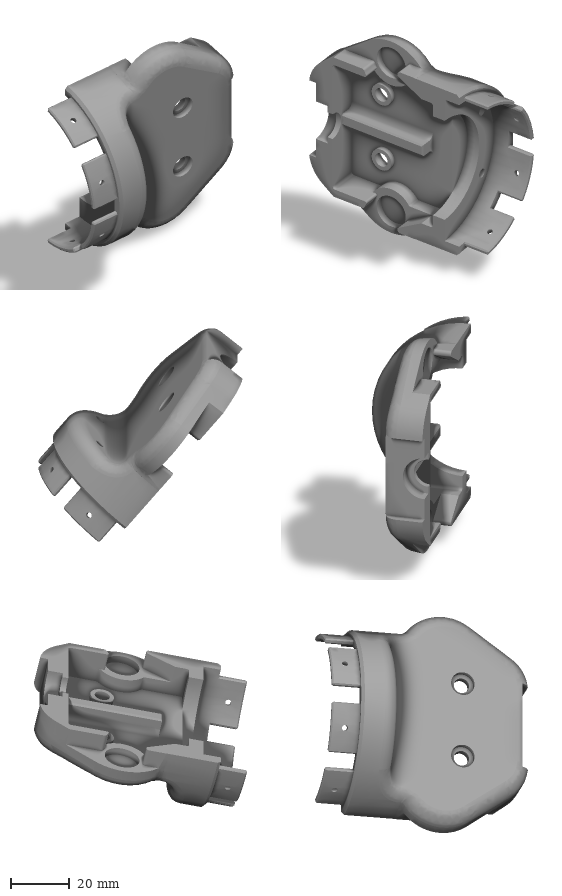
import cadquery as cq
import math


base_radius = 32.5
base_height = 13.0
base_chamfer = 1.0
plate_thickness = 14.1
rim_fillet = 4.8
inner_corner_fillet = 4.95
flank_start = 18.2

lug_center_y = 33.0
lug_radius = 15.9
lug_top = 39.0
lug_sag_share = 0.5
end_center_y = 49.0
end_center_z = 13.5
end_radius = 13.9

notch_half_width = 15.1
notch_floor_y = 60.1
seat_radius = 7.6
seat_floor_y = 55.1
opening_radius = 5.0

wide_bore_radius = 28.6
wide_bore_depth = 6.0
narrow_bore_radius = 20.05

pocket_near_y = 11.0
pocket_far_y = 53.0
pocket_half_width = 25.15
pocket_depth = 11.2
pocket_corner = 1.0

ledge_depth = 6.3
magnet_y = lug_center_y
magnet_z = 30.1
magnet_radius = 6.0
magnet_depth = 2.6
magnet_wall_radius = 9.05
magnet_wall_blend = 1.0

finger_clearance_radius = 7.2
far_finger_top = 28.2
far_finger_upper_rounding = 1.0
far_finger_lower_rounding = 0.7
near_finger_rise = 0.1
near_finger_top = base_radius + near_finger_rise
near_finger_start = 15.9
near_finger_angle = 29.5
near_finger_upper_rounding = 1.1
near_finger_lower_rounding = 0.8

rib_near_y = 19.1
rib_half_width = 2.25
rib_top = 5.35
rib_fillet = 2.1
rib_chamfer = 0.55

boss_y = 39.25
boss_z = 13.15
boss_radius = 4.1
boss_top = 9.3
boss_hole_radius = 2.6
counterbore_floor_x = 11.9
counterbore_radius = 4.1
base_hole_circle = 25.0
base_hole_angles = (-30, 30)
base_hole_radius = 1.6

tab_outer_radius = 30.5
tab_length = 9.8
tab_half_angle = 16.6
tab_angles = (-67.5, -22.5, 22.5, 67.5)
tab_chamfer = 0.5
tab_hole_distance = 4.95
tab_hole_radius = 1.0

margin = 7.75
slack = 0.1


def y_cylinder(radius, y_start, y_end, x=0.0, z=0.0):
    """Cylinder along +Y."""
    axis = cq.Vector(0, 1, 0)
    return cq.Workplane(cq.Solid.makeCylinder(radius, y_end - y_start, cq.Vector(x, y_start, z), axis))


def x_cylinder(radius, x_start, x_end, y, z):
    """Cylinder along +X."""
    axis = cq.Vector(1, 0, 0)
    return cq.Workplane(cq.Solid.makeCylinder(radius, x_end - x_start, cq.Vector(x_start, y, z), axis))


def block(x_range, y_range, z_range):
    """Box between two limits along each axis."""
    sizes = [high - low for low, high in (x_range, y_range, z_range)]
    corner = (x_range[0], y_range[0], z_range[0])
    return cq.Workplane("XY").box(*sizes, centered=False).translate(corner)


def both_sides(solid):
    """The solid together with its mirror image about Z = 0."""
    return solid.union(solid.mirror("XY"))


def flank_wire(x):
    """Outline of the +Z half of the plate beyond the base, at depth x."""
    sag = base_radius - math.sqrt(base_radius**2 - x**2)
    start_z = base_radius - sag
    lug_z = lug_top - lug_sag_share * sag - lug_radius

    def on_lug(angle):
        return (lug_center_y + lug_radius * math.cos(angle), lug_z + lug_radius * math.sin(angle))

    def on_end(angle):
        return (end_center_y + end_radius * math.cos(angle), end_center_z + end_radius * math.sin(angle))

    run = lug_center_y - flank_start
    rise = start_z - lug_z
    blend_radius = (run**2 + rise**2 - lug_radius**2) / (2 * (lug_radius - rise))
    blend_z = start_z + blend_radius
    lug_near_angle = math.atan2(blend_z - lug_z, -run)
    blend_end_angle = lug_near_angle - math.pi
    blend_mid_angle = (blend_end_angle - math.pi / 2) / 2
    blend_mid = (
        flank_start + blend_radius * math.cos(blend_mid_angle),
        blend_z + blend_radius * math.sin(blend_mid_angle),
    )

    center_run = end_center_y - lug_center_y
    center_drop = lug_z - end_center_z
    center_distance = math.hypot(center_run, center_drop)
    center_slope = math.atan2(center_drop, center_run)
    flank_angle = math.acos((lug_radius - end_radius) / center_distance) - center_slope

    outline = (
        cq.Workplane("YZ", origin=(x, 0, 0))
        .moveTo(flank_start, 0)
        .lineTo(flank_start, start_z)
        .threePointArc(blend_mid, on_lug(lug_near_angle))
        .threePointArc(on_lug((lug_near_angle + flank_angle) / 2), on_lug(flank_angle))
        .lineTo(*on_end(flank_angle))
        .threePointArc(on_end(flank_angle / 2), on_end(0))
        .lineTo(end_center_y + end_radius, 0)
        .close()
    )
    return outline.val()


def between(low, high):
    """Selector of edges whose centers lie inside the box spanned by two corners."""
    return cq.selectors.BoxSelector(low, high)


def make_base():
    """Half-round base with the near part of the plate, rounded along its outer rim."""
    half_space = block((0, base_radius), (0, flank_start), (-base_radius, base_radius))
    base = y_cylinder(base_radius, 0, base_height).faces("<Y").chamfer(base_chamfer).intersect(half_space)
    plate_space = block((0, plate_thickness), (0, flank_start), (-base_radius, base_radius))
    plate = y_cylinder(base_radius, base_height, flank_start).intersect(plate_space)
    solid = base.union(plate)
    step = cq.selectors.NearestToPointSelector((plate_thickness, base_height, 0))
    solid = solid.edges(step).fillet(inner_corner_fillet)

    rim_start = (plate_thickness - slack, base_height - slack)
    rim_end = (base_radius, flank_start - slack)
    upper_rim = between((*rim_start, slack), (*rim_end, base_radius))
    lower_rim = between((*rim_start, -base_radius), (*rim_end, -slack))
    side_edges = solid.edges(upper_rim + lower_rim)
    base_arc = solid.faces(">X").edges(">Y")
    return side_edges.add(base_arc).fillet(rim_fillet)


def make_flanks():
    """Both lugs and the far end of the plate, rounded along the outer rim."""
    depths = (0, plate_thickness / 2, plate_thickness)
    half = cq.Workplane(cq.Solid.makeLoft([flank_wire(x) for x in depths], False))
    half = half.faces(">X").edges("not(<Y or <Z)").fillet(rim_fillet)
    return both_sides(half)


def cut_end_notch(body):
    """Notch across the far end and the stepped half-round cable opening behind it."""
    body = body.cut(
        block(
            (-margin, plate_thickness + margin),
            (notch_floor_y, notch_floor_y + margin),
            (-notch_half_width, notch_half_width),
        )
    )
    body = body.cut(y_cylinder(seat_radius, seat_floor_y, notch_floor_y))
    return body.cut(y_cylinder(opening_radius, pocket_far_y, seat_floor_y))


def cut_base_bores(body):
    """Two coaxial bores and the screw holes in the shoulder between them."""
    body = body.cut(y_cylinder(wide_bore_radius, 0, wide_bore_depth))
    body = body.cut(y_cylinder(narrow_bore_radius, wide_bore_depth, pocket_near_y))
    for angle in base_hole_angles:
        x = base_hole_circle * math.cos(math.radians(angle))
        z = base_hole_circle * math.sin(math.radians(angle))
        body = body.cut(y_cylinder(base_hole_radius, 0, base_height, x, z))
    return body


def make_pocket():
    """Pocket volume, narrowed below the ledge by the round walls of the magnet seats."""
    pocket = block(
        (0, pocket_depth), (pocket_near_y, pocket_far_y), (-pocket_half_width, pocket_half_width)
    )
    pocket = pocket.edges("|X").fillet(pocket_corner)
    for z in (-magnet_z, magnet_z):
        wall = x_cylinder(magnet_wall_radius, ledge_depth, pocket_depth, magnet_y, z)
        pocket = pocket.cut(wall)
    wall_corners = between(
        (ledge_depth, magnet_y - magnet_wall_radius, -pocket_half_width - slack),
        (pocket_depth, magnet_y + magnet_wall_radius, pocket_half_width + slack),
    )
    return pocket.edges("|X").edges(wall_corners).fillet(magnet_wall_blend)


def make_finger(points, upper_rounding, lower_rounding):
    """Finger of the wall with the given outline, ending in a rounded arc around the magnet seat."""
    finger = cq.Workplane("YZ", origin=(-margin, 0, 0)).polyline(points).close()
    finger = finger.extrude(margin + ledge_depth)
    clearance = x_cylinder(finger_clearance_radius, -margin, ledge_depth, magnet_y, magnet_z)
    finger = finger.cut(clearance)
    tip = between(
        (-margin, magnet_y - finger_clearance_radius, pocket_half_width - slack),
        (ledge_depth, magnet_y + finger_clearance_radius + slack, near_finger_top + slack),
    )
    finger = finger.edges("|X").edges(tip).edges(">Z").fillet(upper_rounding)
    return finger.edges("|X").edges(tip).edges("<Z").fillet(lower_rounding)


def make_ledge_clearance():
    """Volume removed above the ledge on the +Z side, leaving the two wall fingers."""
    far_y = end_center_y + end_radius + margin
    clearance = block(
        (-margin, ledge_depth), (near_finger_start, far_y), (pocket_half_width, lug_top + margin)
    )
    slope = math.tan(math.radians(near_finger_angle))
    top_run = (near_finger_top - pocket_half_width) / slope
    near_finger = make_finger(
        [
            (near_finger_start, pocket_half_width),
            (near_finger_start + top_run, near_finger_top),
            (near_finger_start, near_finger_top),
        ],
        near_finger_upper_rounding,
        near_finger_lower_rounding,
    )
    far_finger = make_finger(
        [
            (magnet_y, pocket_half_width),
            (far_y, pocket_half_width),
            (far_y, far_finger_top),
            (magnet_y, far_finger_top),
        ],
        far_finger_upper_rounding,
        far_finger_lower_rounding,
    )
    return clearance.cut(near_finger).cut(far_finger)


def cut_magnet_seats(body):
    """Round blind seats for the magnets, sunk into the ledge."""
    for z in (-magnet_z, magnet_z):
        body = body.cut(x_cylinder(magnet_radius, 0, ledge_depth + magnet_depth, magnet_y, z))
    return body


def add_rib(body):
    """Rib along the middle of the pocket, flared into the floor."""
    rib = block(
        (rib_top, pocket_depth), (rib_near_y, pocket_far_y), (-rib_half_width, rib_half_width)
    )
    rib = rib.faces("<X").edges("not >Y").chamfer(rib_chamfer)
    foot_half_width = rib_half_width + rib_fillet
    foot = block(
        (pocket_depth - rib_fillet, pocket_depth),
        (rib_near_y, pocket_far_y),
        (-foot_half_width, foot_half_width),
    )
    for z in (-foot_half_width, foot_half_width):
        foot = foot.cut(y_cylinder(rib_fillet, rib_near_y, pocket_far_y, pocket_depth - rib_fillet, z))
    return body.union(rib).union(foot)


def add_bosses(body):
    """Screw bosses on the pocket floor with through holes counterbored from the outer face."""
    for z in (-boss_z, boss_z):
        body = body.union(x_cylinder(boss_radius, boss_top, pocket_depth, boss_y, z))
        body = body.cut(x_cylinder(boss_hole_radius, 0, plate_thickness, boss_y, z))
        body = body.cut(x_cylinder(counterbore_radius, counterbore_floor_x, plate_thickness, boss_y, z))
    return body


def make_tab():
    """Curved tab centered on +X, with a radial hole."""
    half_angle = math.radians(tab_half_angle)

    def at(radius, angle):
        return (radius * math.cos(angle), radius * math.sin(angle))

    tab = (
        cq.Workplane("XZ")
        .moveTo(*at(wide_bore_radius, -half_angle))
        .threePointArc(at(wide_bore_radius, 0), at(wide_bore_radius, half_angle))
        .lineTo(*at(tab_outer_radius, half_angle))
        .threePointArc(at(tab_outer_radius, 0), at(tab_outer_radius, -half_angle))
        .close()
        .extrude(tab_length)
    )
    tab = tab.edges("|Y or <Y").chamfer(tab_chamfer)
    return tab.cut(x_cylinder(tab_hole_radius, 0, tab_outer_radius, -tab_hole_distance, 0))


def add_tabs(body):
    """Tabs spread around the rim of the wide bore."""
    tab = make_tab()
    for angle in tab_angles:
        body = body.union(tab.rotate((0, 0, 0), (0, 1, 0), angle))
    return body


ledge_clearance = make_ledge_clearance()

result = make_base().union(make_flanks())
result = cut_end_notch(result)
result = cut_base_bores(result)
result = result.cut(make_pocket())
result = result.cut(ledge_clearance).cut(ledge_clearance.mirror("XY"))
result = cut_magnet_seats(result)
result = add_rib(result)
result = add_bosses(result)
result = add_tabs(result)